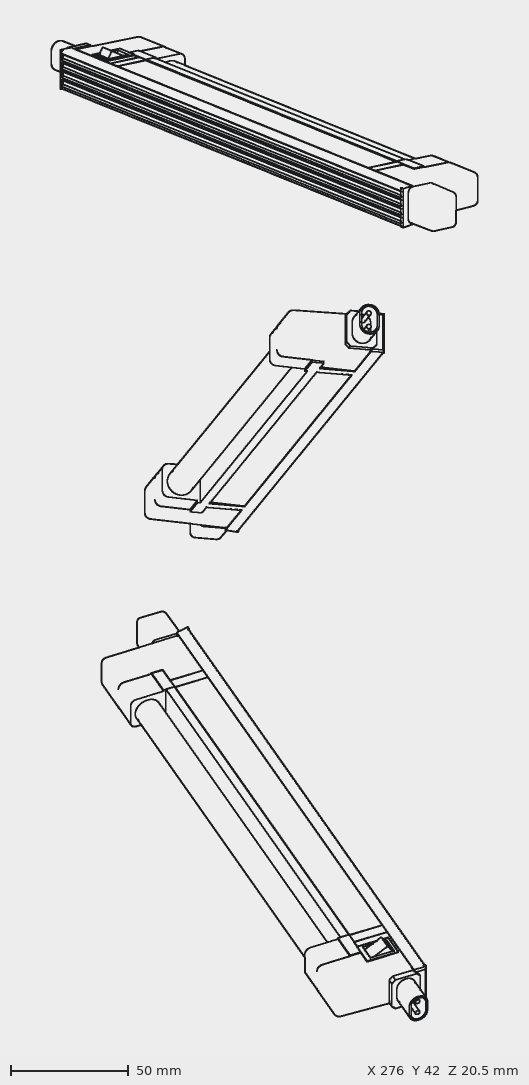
import cadquery as cq

overall_length = 276.0
overall_depth = 42.0
overall_height = 20.5

rail_start = 14.0
rail_end = 260.0
rail_depth = 5.8
rail_height = 17.5
left_plate_width = 2.0
right_plate_width = 1.7
plate_chamfer = 0.8
groove_count = 4
groove_pitch = 4.0
groove_mouth = 3.0
groove_floor = 1.7
groove_depth = 0.8
rail_edge_fillet = 0.8

block_start = 15.5
block_end = 258.5
cap_width = 12.5
block_width = 19.5
strip_front = 21.3
strip_back = 25.5
cap_strip_back = 26.5
pad_width = 5.0
pad_drop = 0.22

block_top_front = 17.0
block_top_back = 16.5
block_bottom_front = 0.3
block_bottom_back = 1.5
block_fillet = 2.8
cap_drop = 0.15

tube_diameter = 11.5
tube_y = 34.0
tube_z = 8.5

switch_x = 33.7
switch_front = 7.0
switch_back = 21.5
bezel_width = 10.5
bezel_wall = 1.5
bezel_front_wall = 1.5
bezel_back_wall = 2.2
switch_pocket_depth = 2.8
rocker_width = 6.5
rocker_peak_y = 11.0
rocker_front_y = 9.0
rocker_back_y = 19.0
rocker_back_z = 16.0

socket_y = 10.5
socket_z = 9.0
socket_width = 8.5
socket_height = 13.2
socket_wall = 0.8
socket_recess_depth = 11.0
pin_diameter = 2.0
pin_pitch = 6.0
pin_length = 10.2

collar_start = 12.7
collar_front = 4.0
collar_back = 17.0
collar_bottom = 0.8
collar_top = 16.8
collar_chamfer = 1.7

plug_front = 3.3
plug_back = 17.5
plug_bottom = 0.8
plug_top = 16.8
plug_fillet = 2.2
plug_draft = 0.5


def box(x_range, y_range, z_range):
    """Axis-aligned box given by its lower and upper limits."""
    size = [high - low for low, high in (x_range, y_range, z_range)]
    corner = (x_range[0], y_range[0], z_range[0])
    return cq.Workplane("XY").box(*size, centered=False).translate(corner)


def prism_along_x(points, x_start, x_end):
    """Extrude a closed (y, z) outline along X."""
    return cq.Workplane("YZ", origin=(x_start, 0, 0)).polyline(points).close().extrude(x_end - x_start)


def make_rail():
    """Front rail with lengthwise trapezoid grooves between two plain end plates."""
    ribs_start = rail_start + left_plate_width
    ribs_end = rail_end - right_plate_width
    ribs = box((ribs_start, ribs_end), (0, rail_depth), (0, rail_height))
    ribs = ribs.edges("|X and <Y").fillet(rail_edge_fillet)
    for index in range(groove_count):
        center = rail_height / 2 + (index - (groove_count - 1) / 2) * groove_pitch
        outline = [
            (0, center - groove_mouth / 2),
            (groove_depth, center - groove_floor / 2),
            (groove_depth, center + groove_floor / 2),
            (0, center + groove_mouth / 2),
        ]
        ribs = ribs.cut(prism_along_x(outline, ribs_start, ribs_end))

    left_plate = box((rail_start, ribs_start), (0, rail_depth), (0, rail_height))
    left_plate = left_plate.faces("<X").edges("not(>Y)").chamfer(plate_chamfer)
    slant = rail_end - block_end
    right_plate = (
        cq.Workplane("XY")
        .polyline([(ribs_end, 0), (rail_end, 0), (rail_end - slant, rail_depth), (ribs_end, rail_depth)])
        .close()
        .extrude(rail_height)
    )
    return ribs.union(left_plate).union(right_plate)


def body_outline(back, drop=0.0):
    """Outline from the rail to the given depth, following the sloped top and bottom."""
    share = (back - rail_depth) / (overall_depth - rail_depth)
    top_back = block_top_front + share * (block_top_back - block_top_front)
    bottom_back = block_bottom_front + share * (block_bottom_back - block_bottom_front)
    return [
        (rail_depth, block_bottom_front + drop),
        (back, bottom_back + drop),
        (back, top_back - drop),
        (rail_depth, block_top_front - drop),
    ]


def make_end_block(outer_x, direction):
    """End block with rounded outer edges; direction points from its outer face inwards."""
    seam_x = outer_x + direction * block_width
    inner_x = seam_x + direction * cap_width
    outer_face = "<X" if direction > 0 else ">X"
    block = prism_along_x(body_outline(overall_depth), min(outer_x, seam_x), max(outer_x, seam_x))
    back_edges = block.faces(">Y").edges("|X")
    end_edges = block.faces(outer_face).edges().filter(lambda edge: edge.Center().y > rail_depth)
    block = block.newObject(back_edges.vals() + end_edges.vals()).fillet(block_fillet)

    cap = prism_along_x(body_outline(overall_depth, cap_drop), min(seam_x, inner_x), max(seam_x, inner_x))
    cap = cap.faces(">Y").edges("|X").fillet(block_fillet)

    cap_strip = box(sorted((seam_x, inner_x)), (strip_front, cap_strip_back), (0, rail_height - cap_drop))
    pad_x = sorted((inner_x, inner_x - direction * pad_width))
    pad = box(pad_x, (rail_depth, strip_front), (0, rail_height - pad_drop))
    return block.union(cap).union(cap_strip).union(pad)


def make_center():
    """Sloped panel, raised strip and lamp tube that join the two end blocks."""
    start = block_start + block_width
    end = block_end - block_width
    panel = prism_along_x(body_outline(strip_front), start, end)
    strip = box((start + cap_width, end - cap_width), (strip_front, strip_back), (0, rail_height))
    tube = cq.Workplane("YZ", origin=(start, tube_y, tube_z)).circle(tube_diameter / 2).extrude(end - start)
    return panel.union(strip).union(tube)


def add_switch(body):
    """Rocker switch set in a recessed bezel on top of the left block."""
    left = switch_x - bezel_width / 2
    right = switch_x + bezel_width / 2
    floor = rail_height - switch_pocket_depth
    bezel = box((left, right), (switch_front, switch_back), (floor, rail_height))
    pocket = box(
        (left + bezel_wall, right - bezel_wall),
        (switch_front + bezel_front_wall, switch_back - bezel_back_wall),
        (floor, rail_height),
    )
    rocker = prism_along_x(
        [
            (rocker_front_y, floor),
            (rocker_front_y, rail_height),
            (rocker_peak_y, overall_height),
            (rocker_back_y, rocker_back_z),
            (rocker_back_y, floor),
        ],
        switch_x - rocker_width / 2,
        switch_x + rocker_width / 2,
    )
    return body.union(bezel).cut(pocket).union(rocker)


def make_socket():
    """Collar and hollow round-ended socket shell with two round contact pins."""
    collar = box((collar_start, block_start), (collar_front, collar_back), (collar_bottom, collar_top))
    collar = collar.edges("|X").chamfer(collar_chamfer)

    mouth = cq.Workplane("YZ", origin=(0, socket_y, socket_z))
    shell = mouth.slot2D(socket_height, socket_width, 90).extrude(block_start)
    recess = mouth.slot2D(socket_height - 2 * socket_wall, socket_width - 2 * socket_wall, 90)
    shell = shell.union(collar).cut(recess.extrude(socket_recess_depth))

    pins = (
        mouth.workplane(offset=socket_recess_depth - pin_length)
        .rarray(2.8, pin_pitch, 1, 2)
        .circle(pin_diameter / 2)
        .extrude(pin_length)
    )
    return shell.union(pins)


def make_plug():
    """Drafted link plug with rounded edges at the right end."""
    plug = (
        cq.Workplane("YZ", origin=(block_end, (plug_front + plug_back) / 2, (plug_bottom + plug_top) / 2))
        .rect(plug_back - plug_front, plug_top - plug_bottom)
        .extrude(overall_length - block_end, taper=plug_draft)
    )
    return plug.edges("not(<X)").fillet(plug_fillet)


body = make_rail()
body = body.union(make_end_block(block_start, 1))
body = body.union(make_end_block(block_end, -1))
body = body.union(make_center())
body = add_switch(body)
body = body.union(make_socket()).union(make_plug())
result = body.solids()